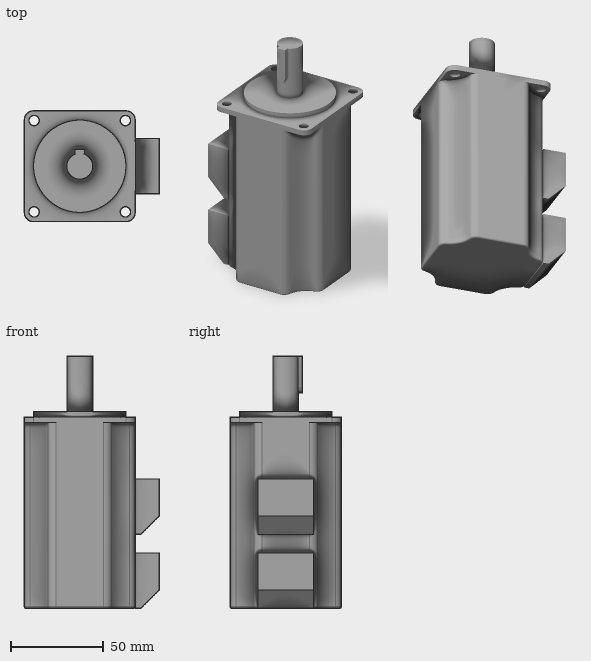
import cadquery as cq
import math

total_height = 136.5
shaft_length = 30.0
plate_thickness = 3.0
plate_top = total_height - shaft_length - plate_thickness
body_height = plate_top - plate_thickness

flange_side = 60.0
half_side = flange_side / 2
corner_radius = 5.0
hole_diameter = 5.5
hole_spacing = 49.4
pilot_diameter = 50.0

flat_half_width = 13.0
edge_radius = 4.2
bottom_round = 1.0

shaft_diameter = 14.0
key_width = 5.0
key_length = 19.9
key_reach = 9.0

connector_reach = 13.0
connector_size = 30.0
connector_bevel = 10.0
connector_bottoms = (0.0, 40.0)


def make_body():
    """Square column with a concave hollow, blended by edge rounds, along each corner."""
    round_center = half_side - edge_radius
    center_gap = math.hypot(edge_radius, half_side - flat_half_width)
    hollow_radius = center_gap - edge_radius

    square = cq.Workplane("XY").rect(flange_side, flange_side).extrude(body_height)
    hollows = (
        cq.Workplane("XY")
        .rect(flange_side, flange_side, forConstruction=True)
        .vertices()
        .circle(hollow_radius)
        .extrude(body_height)
    )
    touch_ratio = edge_radius / center_gap
    touch_x = round_center + edge_radius * touch_ratio
    touch_y = flat_half_width + (half_side - flat_half_width) * touch_ratio
    bisector_x = half_side - round_center + touch_x - round_center
    bisector_y = touch_y - flat_half_width
    bisector_length = math.hypot(bisector_x, bisector_y)
    middle = (
        round_center + edge_radius * bisector_x / bisector_length,
        flat_half_width + edge_radius * bisector_y / bisector_length,
    )
    tip = (
        cq.Workplane("XY")
        .moveTo(half_side, flat_half_width)
        .lineTo(half_side, half_side)
        .lineTo(touch_x, touch_y)
        .threePointArc(middle, (half_side, flat_half_width))
        .close()
        .extrude(body_height)
    )
    body = square.cut(hollows)
    for waste in (tip, tip.mirror("XZ")):
        for quarter in range(4):
            body = body.cut(waste.rotate((0, 0, 0), (0, 0, 1), 90 * quarter))
    return body.faces("<Z").fillet(bottom_round)


def make_flange():
    """Mounting plate with four corner holes and a round pilot boss."""
    plate = (
        cq.Workplane("XY", origin=(0, 0, body_height))
        .rect(flange_side, flange_side)
        .extrude(plate_thickness)
        .edges("|Z")
        .fillet(corner_radius)
    )
    pilot = cq.Workplane("XY", origin=(0, 0, plate_top)).circle(pilot_diameter / 2).extrude(plate_thickness)
    holes = (
        cq.Workplane("XY", origin=(0, 0, body_height))
        .rect(hole_spacing, hole_spacing, forConstruction=True)
        .vertices()
        .circle(hole_diameter / 2)
        .extrude(plate_thickness)
    )
    return plate.union(pilot).cut(holes)


def make_shaft():
    """Round shaft with a +Y key whose lower end is rounded."""
    shaft_bottom = total_height - shaft_length
    shaft = cq.Workplane("XY", origin=(0, 0, shaft_bottom)).circle(shaft_diameter / 2).extrude(shaft_length)
    key_bottom = total_height - key_length
    half_key = key_width / 2
    key = (
        cq.Workplane("XZ")
        .moveTo(-half_key, total_height)
        .lineTo(-half_key, key_bottom + half_key)
        .threePointArc((0, key_bottom), (half_key, key_bottom + half_key))
        .lineTo(half_key, total_height)
        .close()
        .extrude(-key_reach)
    )
    return shaft.union(key)


def make_connector(bottom):
    """Block with a sloped lower outer corner, its flat back against the +X face."""
    outer = half_side + connector_reach
    top = bottom + connector_size
    return (
        cq.Workplane("XZ")
        .moveTo(half_side, bottom)
        .lineTo(outer - connector_bevel, bottom)
        .lineTo(outer, bottom + connector_bevel)
        .lineTo(outer, top)
        .lineTo(half_side, top)
        .close()
        .extrude(connector_size / 2, both=True)
    )


result = make_body().union(make_flange()).union(make_shaft())
for connector_bottom in connector_bottoms:
    result = result.union(make_connector(connector_bottom))